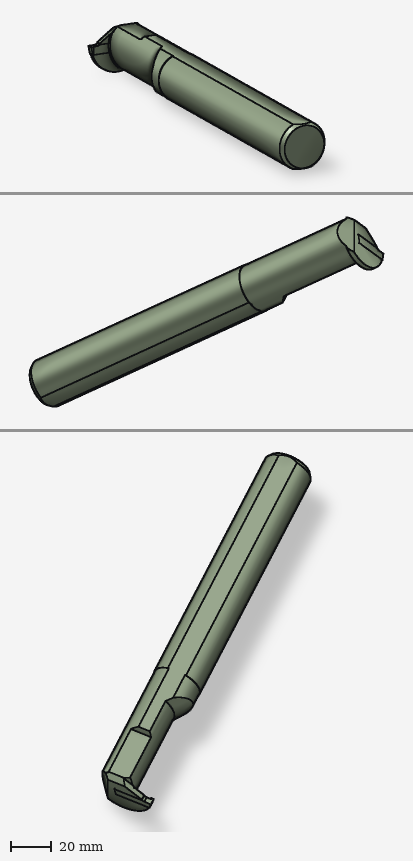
import cadquery as cq
import math

length = 200.0
shank_radius = 12.5
flat_height = 11.5
shank_start = 67.2
end_chamfer_length = 2.5
end_chamfer_depth = 1.6
neck_radius = 12.3

arm_radius = 16.0
arm_axis_y = 9.5
arm_end = 50.0
flare_length = 10.0
flare_growth = 6.0
arm_flat_height = 9.7
arm_flat_end = 29.6

head_radius = 14.3
head_axis_y = -2.0
head_thickness = 2.8
head_blend = 0.6
front_bevel_length = 3.5
front_bevel_depth = 1.7
side_bevel_y = 6.5
slope_angle = math.radians(35)
slope_start_y = -2.8
slope_length = 3.2

tip_y = -16.9
insert_end_y = 3.0
insert_top = 1.0
tip_top = 0.5
insert_bottom = -3.8
side_relief = 0.8
tip_land = 3.6
tip_ramp = 1.5
tip_thickness = 3.5
waist_thickness = head_thickness
wide_tip_length = 1.5

clear = 40.0


def rod(start, end, radius, axis_y=0.0):
    """Round rod along X."""
    return cq.Workplane("YZ", origin=(start, axis_y, 0)).circle(radius).extrude(end - start)


def make_shank():
    profile = [
        (shank_start, 0),
        (shank_start, shank_radius),
        (length - end_chamfer_length, shank_radius),
        (length, shank_radius - end_chamfer_depth),
        (length, 0),
    ]
    shank = cq.Workplane("XY").polyline(profile).close().revolve(360, (0, 0, 0), (1, 0, 0))
    return shank.intersect(cq.Workplane("XY").box(2 * length, clear, 2 * flat_height))


def make_neck():
    flare_end = arm_end + flare_length
    flare_radius = arm_radius + flare_growth
    envelope_profile = [
        (0, arm_axis_y),
        (0, arm_axis_y - arm_radius - head_blend),
        (head_thickness, arm_axis_y - arm_radius - head_blend),
        (head_thickness + head_blend, arm_axis_y - arm_radius),
        (arm_end, arm_axis_y - arm_radius),
        (flare_end, arm_axis_y - flare_radius),
        (shank_start, arm_axis_y - flare_radius),
        (shank_start, arm_axis_y),
    ]
    envelope = (
        cq.Workplane("XY").polyline(envelope_profile).close()
        .revolve(360, (0, arm_axis_y, 0), (1, arm_axis_y, 0))
    )
    return rod(0, shank_start, neck_radius).intersect(envelope)


def top_cut():
    """Space above the front bevel, the arm flat, its 45 degree ramp and the neck flat."""
    profile = [
        (0, arm_flat_height - front_bevel_depth),
        (front_bevel_length, arm_flat_height),
        (arm_flat_end, arm_flat_height),
        (arm_flat_end + flat_height - arm_flat_height, flat_height),
        (shank_start, flat_height),
        (shank_start, clear),
        (0, clear),
    ]
    return cq.Workplane("XZ").polyline(profile).close().extrude(clear, both=True)


def side_bevel_cut():
    profile = [(0, side_bevel_y), (clear, side_bevel_y + clear), (0, side_bevel_y + clear)]
    return cq.Workplane("XY").polyline(profile).close().extrude(clear, both=True)


def slope_cut():
    """Sloped relief above the insert, with a 45 degree run-out into the arm."""
    start_z = arm_flat_height - front_bevel_depth
    down_slope = (0, -math.cos(slope_angle), -math.sin(slope_angle))
    plane = cq.Plane(origin=(0, slope_start_y, start_z), xDir=(1, 0, 0), normal=down_slope)
    profile = [(0, 0), (slope_length, 0), (slope_length + clear, clear), (0, clear)]
    return cq.Workplane(plane).polyline(profile).close().extrude(clear, both=True)


def insert_blank(thickness):
    profile = [
        (insert_end_y, insert_top),
        (tip_y + tip_land + tip_ramp, insert_top),
        (tip_y + tip_land, tip_top),
        (tip_y, tip_top),
        (tip_y + side_relief, insert_bottom),
        (insert_end_y - side_relief, insert_bottom),
    ]
    return cq.Workplane("YZ").polyline(profile).close().extrude(thickness)


def make_insert():
    wide_tip = insert_blank(tip_thickness).intersect(
        cq.Workplane("XY").box(clear, 2 * wide_tip_length, clear).translate((0, tip_y, 0))
    )
    return insert_blank(waist_thickness).union(wide_tip)


def tip_clearance():
    """Open space over the cutting tip and beyond its outer end."""
    return (
        cq.Workplane("XY")
        .box(head_thickness, clear, clear, centered=False)
        .translate((0, tip_y + tip_land + tip_ramp - clear, tip_top))
    )


def make_holder(insert):
    head = rod(0, head_thickness, head_radius, head_axis_y).cut(tip_clearance())
    front = make_neck().union(head)
    for cutter in (top_cut(), side_bevel_cut(), slope_cut()):
        front = front.cut(cutter)
    return front.union(make_shank()).cut(insert)


insert = make_insert()
holder = make_holder(insert)

result = cq.Compound.makeCompound([holder.val(), insert.val()])